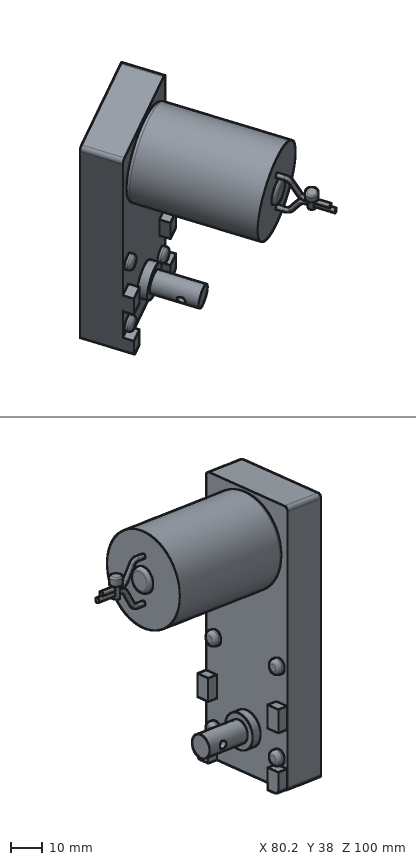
import cadquery as cq
import math

HOUSING_DEPTH = 13.2
COVER_THICKNESS = 1.5
HOUSING_WIDTH = 38.0
HOUSING_HEIGHT = 100.0
CORNER_RADIUS = 1.5
FRONT_FACE = HOUSING_DEPTH + COVER_THICKNESS

LUG_END = 18.5
LUG_WIDTH = 5.0
LUG_INSET_LEFT = 0.3
LOWER_LUG_TOP = 7.9
UPPER_LUG_BOTTOM = 21.7
UPPER_LUG_TOP = 30.0

SHAFT_AXIS_Z = 15.9
SHAFT_RADIUS = 4.1
SHAFT_END = 34.9
SHAFT_BOSS_RADIUS = 6.4
SHAFT_BOSS_END = 18.2
CROSS_HOLE_DIAMETER = 2.8
CROSS_HOLE_X = 28.9

SCREW_HEAD_RADIUS = 2.8
SCREW_HEAD_HEIGHT = 2.5
SCREW_HEAD_ROUNDING = 1.5
SCREW_Y = 14.8
SCREW_HEIGHTS = (10.8, 42.9)

MOTOR_AXIS_Z = 82.5
MOTOR_RADIUS = 17.0
MOTOR_END = 60.0
MOTOR_ROUNDING = 1.5
BEARING_RADIUS = 4.6
BEARING_LENGTH = 1.5
BEARING_ROUNDING = 1.3

WIRE_RADIUS = 0.9
WIRE_START_OFFSET = 8.3
WIRE_END_OFFSET = 0.85
WIRE_BEND_START = 62.8
WIRE_BEND_RADIUS = 2.5
WIRE_BEND_ANGLE = math.radians(60)
UPPER_WIRE_END = 78.4
LOWER_WIRE_END = 80.2

PIN_X = 72.0
PIN_RADIUS = 1.3
PIN_BOTTOM = 79.9
PIN_HEAD_RADIUS = 2.2
PIN_HEAD_BOTTOM = 84.8
PIN_HEAD_TOP = 87.8
PIN_HEAD_ROUNDING = 0.6

OVERLAP = 1.0


def rod_x(radius, start, end, y, z):
    """Cylinder along X from start to end."""
    return cq.Workplane("YZ", origin=(start, y, z)).circle(radius).extrude(end - start)


def rod_z(radius, bottom, top, x):
    """Upright cylinder on the Y = 0 plane."""
    return cq.Workplane("XY", origin=(x, 0, bottom)).circle(radius).extrude(top - bottom)


def housing():
    """Housing and cover as one block with rounded long edges."""
    return (
        cq.Workplane("YZ", origin=(0, 0, HOUSING_HEIGHT / 2))
        .rect(HOUSING_WIDTH, HOUSING_HEIGHT)
        .extrude(FRONT_FACE)
        .edges("|X")
        .fillet(CORNER_RADIUS)
    )


def lug(y_min, y_max, bottom, top):
    """Block that starts inside the cover and stands out from it."""
    size = (LUG_END - HOUSING_DEPTH, y_max - y_min, top - bottom)
    return cq.Workplane("XY", origin=(HOUSING_DEPTH, y_min, bottom)).box(*size, centered=False)


def lugs():
    """Upper and lower lug on each side, the lower ones rounded like the housing."""
    half_width = HOUSING_WIDTH / 2
    left_outer = half_width - LUG_INSET_LEFT
    body = cq.Workplane("XY")
    for y_min, outer_side in ((-half_width, "<Y"), (left_outer - LUG_WIDTH, ">Y")):
        y_max = y_min + LUG_WIDTH
        lower = lug(y_min, y_max, 0, LOWER_LUG_TOP)
        lower = lower.faces(outer_side).edges("<Z").fillet(CORNER_RADIUS)
        body = body.add(lower).add(lug(y_min, y_max, UPPER_LUG_BOTTOM, UPPER_LUG_TOP))
    return body.combine()


def output_shaft():
    boss = rod_x(SHAFT_BOSS_RADIUS, FRONT_FACE - OVERLAP, SHAFT_BOSS_END, 0, SHAFT_AXIS_Z)
    shaft = rod_x(SHAFT_RADIUS, FRONT_FACE - OVERLAP, SHAFT_END, 0, SHAFT_AXIS_Z)
    cross_hole = (
        cq.Workplane("XZ", origin=(CROSS_HOLE_X, 0, SHAFT_AXIS_Z))
        .circle(CROSS_HOLE_DIAMETER / 2)
        .extrude(2 * SHAFT_RADIUS, both=True)
    )
    return boss.union(shaft).cut(cross_hole)


def screw_head(y, z):
    head = rod_x(SCREW_HEAD_RADIUS, FRONT_FACE - OVERLAP, FRONT_FACE + SCREW_HEAD_HEIGHT, y, z)
    return head.faces(">X").edges().fillet(SCREW_HEAD_ROUNDING)


def motor():
    can = rod_x(MOTOR_RADIUS, FRONT_FACE, MOTOR_END, 0, MOTOR_AXIS_Z)
    can = can.faces("<X").edges().fillet(MOTOR_ROUNDING)
    bearing = rod_x(BEARING_RADIUS, MOTOR_END - OVERLAP, MOTOR_END + BEARING_LENGTH, 0, MOTOR_AXIS_Z)
    bearing = bearing.faces(">X").edges().fillet(BEARING_ROUNDING)
    return can.union(bearing)


def wire(side, end):
    """Wire above (side = 1) or below (side = -1) the motor axis, bent towards it and back."""
    start_z = MOTOR_AXIS_Z + side * WIRE_START_OFFSET
    end_z = MOTOR_AXIS_Z + side * WIRE_END_OFFSET
    slope_run = (WIRE_START_OFFSET - WIRE_END_OFFSET) / math.tan(WIRE_BEND_ANGLE)
    tangent = WIRE_BEND_RADIUS * math.tan(WIRE_BEND_ANGLE / 2)
    bend_end = WIRE_BEND_START + 2 * tangent + slope_run

    def bend_point(angle):
        """Distance along X and change in height after turning by angle."""
        return WIRE_BEND_RADIUS * math.sin(angle), WIRE_BEND_RADIUS * (1 - math.cos(angle)) * side

    mid_run, mid_drop = bend_point(WIRE_BEND_ANGLE / 2)
    full_run, full_drop = bend_point(WIRE_BEND_ANGLE)
    path = (
        cq.Workplane("XZ")
        .moveTo(MOTOR_END - OVERLAP, start_z)
        .lineTo(WIRE_BEND_START, start_z)
        .threePointArc(
            (WIRE_BEND_START + mid_run, start_z - mid_drop),
            (WIRE_BEND_START + full_run, start_z - full_drop),
        )
        .lineTo(bend_end - full_run, end_z + full_drop)
        .threePointArc((bend_end - mid_run, end_z + mid_drop), (bend_end, end_z))
        .lineTo(end, end_z)
    )
    section = cq.Workplane("YZ", origin=(MOTOR_END - OVERLAP, 0, start_z)).circle(WIRE_RADIUS)
    return section.sweep(path)


def pin():
    head = rod_z(PIN_HEAD_RADIUS, PIN_HEAD_BOTTOM, PIN_HEAD_TOP, PIN_X)
    head = head.faces(">Z").edges().fillet(PIN_HEAD_ROUNDING)
    return rod_z(PIN_RADIUS, PIN_BOTTOM, PIN_HEAD_TOP - OVERLAP, PIN_X).union(head)


result = housing().union(lugs()).union(output_shaft())
for screw_z in SCREW_HEIGHTS:
    for screw_y in (-SCREW_Y, SCREW_Y):
        result = result.union(screw_head(screw_y, screw_z))
result = result.union(motor())
result = result.union(wire(1, UPPER_WIRE_END)).union(wire(-1, LOWER_WIRE_END)).union(pin())